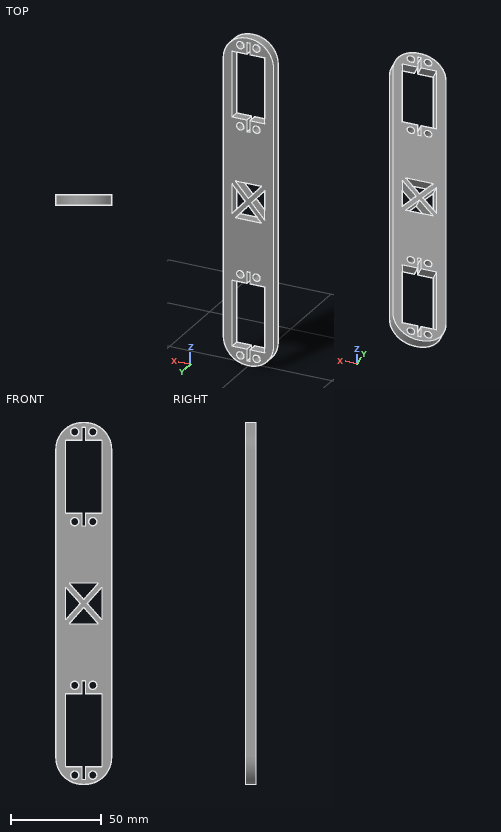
import cadquery as cq
import math

length = 200.0
width = 31.0
thickness = 6.0
corner_radius = 15.0

window_offset = 70.0
window_width = 20.0
window_height = 40.2
slot_width = 1.8
slot_span = 54.5
hole_diameter = 4.5
hole_spacing_x = 10.0
hole_spacing_z = 49.5

brace_height = 22.5
brace_width = window_width
bar_width = 3.0


def through_block(size_x, size_z, center_z=0):
    return cq.Workplane("XY").box(size_x, thickness, size_z).translate((0, 0, center_z))


def plate():
    return through_block(width, length).edges("|Y").fillet(corner_radius)


def window_cutter(center_z):
    holes = (
        cq.Workplane("XZ")
        .center(0, center_z)
        .rarray(hole_spacing_x, hole_spacing_z, 2, 2)
        .circle(hole_diameter / 2)
        .extrude(thickness / 2, both=True)
    )
    window = through_block(window_width, window_height, center_z)
    slot = through_block(slot_width, slot_span, center_z)
    return window.union(slot).union(holes)


def brace_cutter():
    """Rectangular opening minus the bars along its two diagonals."""
    opening = through_block(brace_width, brace_height)
    diagonal_angle = math.degrees(math.atan2(brace_width, brace_height))
    bar_length = 2 * brace_height
    for angle in (diagonal_angle, -diagonal_angle):
        bar = through_block(bar_width, bar_length).rotate((0, 0, 0), (0, 1, 0), angle)
        opening = opening.cut(bar)
    return opening


result = plate().cut(brace_cutter())
for side in (-1, 1):
    result = result.cut(window_cutter(side * window_offset))